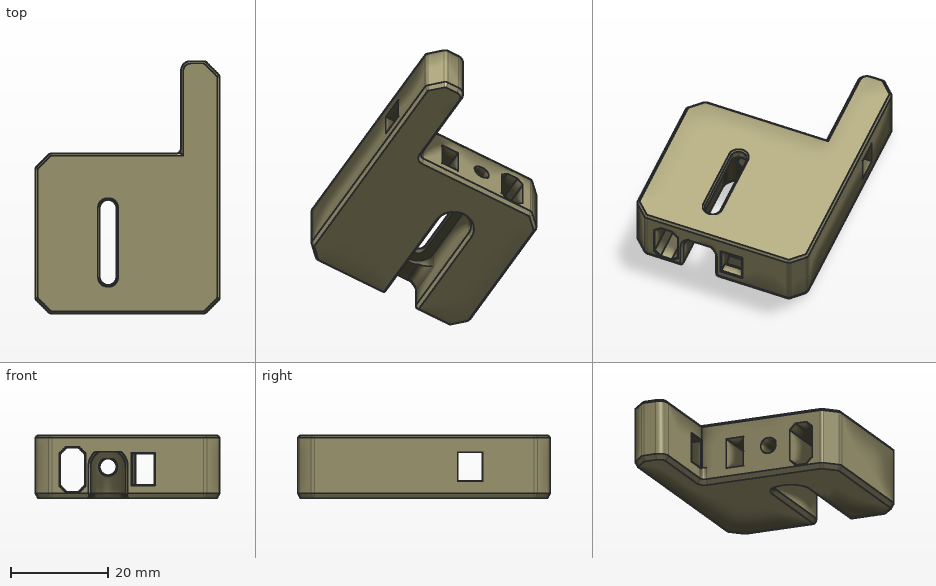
import cadquery as cq
import math

length_x = 38.0
length_y = 52.0
height = 13.0
body_y = 33.0
arm_x = 30.0
corner_cut = 3.0
corner_blend = 1.0
arm_tip_radius = 2.0
inner_corner_radius = 1.0
top_chamfer = 0.5
bottom_chamfer_height = 1.1
bottom_chamfer_inset = 0.6
bottom_angle = math.degrees(math.atan2(bottom_chamfer_inset, bottom_chamfer_height))
flare_angle = 45.0
mouth_chamfer = 0.2

bolt_x = 15.0
slot_width = 3.4
slot_start_y = 7.6
slot_end_y = 21.7
slot_chamfer = 0.4
pocket_radius = 3.6
pocket_mouth_chamfer = 0.5
pocket_top_z = 9.6
recess_top_z = 10.9
bore_z = 6.5
screw_radius = 1.7
screw_top_z = 8.15

octagon_x = (5.15, 10.2)
octagon_z = (1.35, 10.45)
octagon_cut = 1.3

passage_x = (19.95, 24.5)
passage_z = (2.85, 9.2)
ramp_y = 16.0
ramp_steps = (0.4, 0.3)
ramp_angles = (25.0, 40.0)
groove_start_y = 2.0
groove_width = 2.4

window_end_y = 38.0
window_z = (3.6, 9.5)


def round_edges(prism, corners, radius):
    """Fillet the vertical edges that stand on the given outline corners."""
    tolerance = 1e-3

    def on_corner(edge):
        middle = edge.Center()
        return any(math.dist((middle.x, middle.y), corner) < tolerance for corner in corners)

    return prism.edges("|Z").filter(on_corner).fillet(radius)


def plate(bottom, top, round_inner_corner):
    """Vertical prism of the plate outline."""
    outer_cut_ends = [
        (corner_cut, 0),
        (length_x - corner_cut, 0),
        (length_x, corner_cut),
        (length_x, length_y - corner_cut),
        (length_x - corner_cut, length_y),
    ]
    inner_cut_ends = [
        (corner_cut, body_y),
        (0, body_y - corner_cut),
        (0, corner_cut),
    ]
    arm_tip = (arm_x, length_y)
    inner_corner = (arm_x, body_y)
    outline = outer_cut_ends + [arm_tip, inner_corner] + inner_cut_ends
    prism = cq.Workplane("XY").workplane(offset=bottom).polyline(outline).close().extrude(top - bottom)

    prism = round_edges(prism, outer_cut_ends + inner_cut_ends, corner_blend)
    prism = round_edges(prism, [arm_tip], arm_tip_radius)
    if round_inner_corner:
        prism = round_edges(prism, [inner_corner], inner_corner_radius)
    return prism


def make_blank():
    """Plate with chamfered top and steeper bottom edge; its inner corner is rounded below the window."""
    upper = plate(window_z[0], height, False).faces(">Z").chamfer(top_chamfer)
    lower = plate(bottom_chamfer_height, window_z[0], True)
    foot = lower.faces("<Z").wires().toPending().workplane().extrude(
        bottom_chamfer_height, taper=bottom_angle, combine=False
    )
    return upper.union(lower).union(foot)


def front_plane(y):
    """XZ sketch plane at the given Y; extruding by a negative distance goes toward +Y."""
    return cq.Workplane("XZ", origin=(0, y, 0))


def flared_passage(sketch, depth, lead_in):
    """Passage from the front face of the given cross-section, widening at 45 degrees at its mouth."""
    passage = sketch(front_plane(0)).extrude(-depth)
    mouth = sketch(front_plane(lead_in)).extrude(lead_in, taper=-flare_angle)
    return passage.union(mouth)


def octagon_sketch(plane):
    """Upright octagon with equal corner cuts."""
    left, right = octagon_x
    low, high = octagon_z
    return plane.polyline([
        (left + octagon_cut, low),
        (right - octagon_cut, low),
        (right, low + octagon_cut),
        (right, high - octagon_cut),
        (right - octagon_cut, high),
        (left + octagon_cut, high),
        (left, high - octagon_cut),
        (left, low + octagon_cut),
    ]).close()


def passage_sketch(plane):
    """Upright rectangle of the plain passage."""
    left, right = passage_x
    low, high = passage_z
    return plane.center((left + right) / 2, (low + high) / 2).rect(right - left, high - low)


def rectangular_passage():
    """Rectangular passage with a V groove in its floor and a ramp that narrows its rear part."""
    left, right = passage_x
    low, high = passage_z
    passage = flared_passage(passage_sketch, body_y, mouth_chamfer)
    ramp_points = [(left, ramp_y)]
    for step, angle in zip(ramp_steps, ramp_angles):
        x, y = ramp_points[-1]
        ramp_points.append((x + step, y + step * math.tan(math.radians(angle))))
    narrowing = (
        cq.Workplane("XY", origin=(0, 0, low))
        .polyline(ramp_points + [(ramp_points[-1][0], body_y), (left, body_y)])
        .close()
        .extrude(high - low)
    )
    groove = (
        cq.Workplane("YZ", origin=(left, 0, 0))
        .polyline([
            (groove_start_y, low),
            (groove_start_y + groove_width / 2, low - groove_width / 2),
            (groove_start_y + groove_width, low),
        ])
        .close()
        .extrude(right - left)
    )
    return passage.cut(narrowing).union(groove)


def flat_topped(solid, top):
    """Remove everything above the given level."""
    below = cq.Workplane("XY").box(length_x, length_y, top, centered=False)
    return solid.intersect(below)


def arch_sketch(plane):
    """Arch of the bolt pocket, standing on the bottom face."""
    return (
        plane.moveTo(bolt_x - pocket_radius, 0)
        .lineTo(bolt_x - pocket_radius, bore_z)
        .threePointArc((bolt_x, bore_z + pocket_radius), (bolt_x + pocket_radius, bore_z))
        .lineTo(bolt_x + pocket_radius, 0)
        .close()
    )


def pocket_flare():
    """Widening of the bolt pocket at the bottom face, running out past the front of the body."""
    radius = pocket_radius + bottom_chamfer_inset
    front_y = -bottom_chamfer_inset
    return (
        cq.Workplane("XY")
        .moveTo(bolt_x - radius, front_y)
        .lineTo(bolt_x - radius, slot_end_y)
        .threePointArc((bolt_x, slot_end_y + radius), (bolt_x + radius, slot_end_y))
        .lineTo(bolt_x + radius, front_y)
        .close()
        .extrude(bottom_chamfer_height, taper=bottom_angle)
    )


def slot_solid(bottom, width, thickness, taper=0):
    """Vertical prism on the slot's centre line, of the given width."""
    spacing = slot_end_y - slot_start_y
    return (
        cq.Workplane("XY", origin=(bolt_x, slot_start_y + spacing / 2, bottom))
        .slot2D(spacing + width, width, 90)
        .extrude(thickness, taper=taper)
    )


def bolt_pocket():
    """Arched pocket open at the front and below, with a round-ended higher recess under the slot."""
    arch = flared_passage(arch_sketch, slot_end_y, pocket_mouth_chamfer)
    entry = flat_topped(arch.union(pocket_flare()), pocket_top_z)
    recess = slot_solid(0, 2 * pocket_radius, recess_top_z)
    return entry.union(recess)


def screw_hole():
    """Stepped hole along Y from the pocket to the back of the body, flat on top."""
    mouth_y = slot_end_y + pocket_radius
    mouth_radius = screw_radius + mouth_chamfer
    profile = [
        (0, slot_end_y),
        (mouth_radius, slot_end_y),
        (mouth_radius, mouth_y),
        (screw_radius, mouth_y + mouth_chamfer),
        (screw_radius, body_y),
        (0, body_y),
    ]
    hole = (
        cq.Workplane("XY", origin=(bolt_x, 0, bore_z))
        .polyline(profile)
        .close()
        .revolve(360, (0, 0, 0), (0, 1, 0))
    )
    return flat_topped(hole, screw_top_z)


def bolt_slot():
    """Slot from the pocket to the top face, with a chamfered rim."""
    rim_bottom = height - slot_chamfer
    shaft = slot_solid(bore_z, slot_width, height - bore_z)
    return shaft.union(slot_solid(rim_bottom, slot_width, slot_chamfer, -flare_angle))


def arm_window():
    """Rectangular window along X through the arm, with a lead-in on the inner face of the arm."""
    low, high = window_z
    width = window_end_y - body_y
    centre = ((body_y + window_end_y) / 2, (low + high) / 2)
    opening = cq.Workplane("YZ", origin=(arm_x, *centre)).rect(width, high - low).extrude(length_x - arm_x)
    mouth = (
        cq.Workplane("YZ", origin=(arm_x + mouth_chamfer, *centre))
        .rect(width, high - low)
        .extrude(-mouth_chamfer, taper=-flare_angle)
    )
    return opening.union(mouth)


result = (
    make_blank()
    .cut(flared_passage(octagon_sketch, body_y, mouth_chamfer))
    .cut(rectangular_passage())
    .cut(bolt_pocket())
    .cut(screw_hole())
    .cut(bolt_slot())
    .cut(arm_window())
)